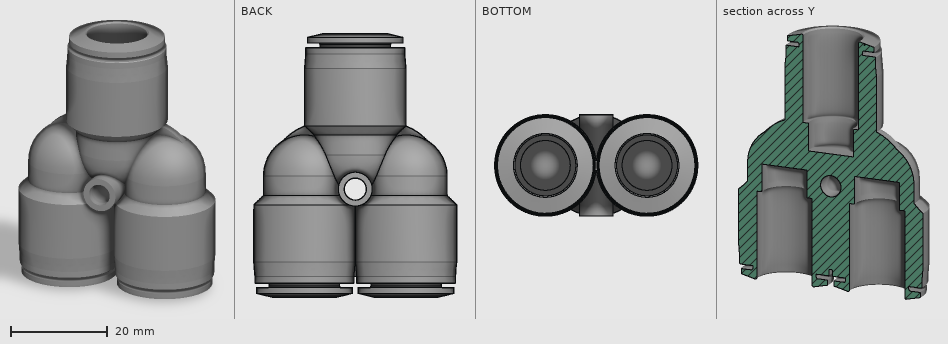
import cadquery as cq
import math

overall_height = 54.5
body_dia = 21.0
leg_pitch = body_dia

release_ring_dia = 19.8
ring_rim_depth = 0.8
ring_back_depth = 2.0
neck_root_dia = 14.9
neck_dia = 14.6
neck_taper_length = 0.3
body_face_dia = 20.5
body_face_depth = 2.85
body_face_chamfer = 0.15
collar_depth = 4.25
body_start_depth = 7.25
body_end_depth = 19.1
shoulder_end_depth = 21.0
dome_dia = 17.0
dome_centre_depth = 25.1

bore_dia = 12.6
bore_mouth_dia = 13.2
bore_depth = body_end_depth
passage_dia = 10.3
passage_depth = dome_centre_depth

eyelet_dia = 7.0
eyelet_hole_dia = 4.5
eyelet_length = body_dia
eyelet_z = 22.35

web_thickness = 2.0
web_reach = 14.9
web_bulge = 0.3

bridge_thickness = web_thickness
bridge_width = 2.0


def socket_body():
    """Solid socket with its mouth at Z = 0 and its dome pointing along +Z."""
    dome_r = dome_dia / 2
    diagonal = dome_r * math.cos(math.radians(45))
    return (
        cq.Workplane("XZ")
        .moveTo(0, 0)
        .lineTo(bore_mouth_dia / 2, 0)
        .lineTo(release_ring_dia / 2, ring_rim_depth)
        .lineTo(release_ring_dia / 2, ring_back_depth)
        .lineTo(neck_root_dia / 2, ring_back_depth)
        .lineTo(neck_dia / 2, ring_back_depth + neck_taper_length)
        .lineTo(neck_dia / 2, body_face_depth)
        .lineTo(body_face_dia / 2 - body_face_chamfer, body_face_depth)
        .lineTo(body_face_dia / 2, body_face_depth + body_face_chamfer)
        .lineTo(body_face_dia / 2, collar_depth)
        .lineTo(body_dia / 2, body_start_depth)
        .lineTo(body_dia / 2, body_end_depth)
        .lineTo(dome_r, shoulder_end_depth)
        .lineTo(dome_r, dome_centre_depth)
        .threePointArc((diagonal, dome_centre_depth + diagonal), (0, dome_centre_depth + dome_r))
        .close()
        .revolve(360, (0, 0, 0), (0, 1, 0))
    )


def socket_bore():
    """Stepped blind bore with a small lead-in, opening at Z = 0."""
    lead_in = (bore_mouth_dia - bore_dia) / 2
    return (
        cq.Workplane("XZ")
        .moveTo(0, 0)
        .lineTo(bore_mouth_dia / 2, 0)
        .lineTo(bore_dia / 2, lead_in)
        .lineTo(bore_dia / 2, bore_depth)
        .lineTo(passage_dia / 2, bore_depth)
        .lineTo(passage_dia / 2, passage_depth)
        .lineTo(0, passage_depth)
        .close()
        .revolve(360, (0, 0, 0), (0, 1, 0))
    )


def in_all_sockets(shape):
    """Copies of a mouth-down shape placed at the upper socket and both legs."""
    upper = shape.rotate((0, 0, 0), (1, 0, 0), 180).translate((0, 0, overall_height))
    legs = [shape.translate((side * leg_pitch / 2, 0, 0)) for side in (-1, 1)]
    return [upper] + legs


def eyelet_cylinder(diameter):
    """Cylinder along Y, centred on the eyelet axis."""
    return (
        cq.Workplane("XZ")
        .center(0, eyelet_z)
        .circle(diameter / 2)
        .extrude(eyelet_length / 2, both=True)
    )


def web():
    """Plate in the XZ plane with crowned edges joining the upper body to both leg domes."""
    dome_r = dome_dia / 2
    offset = web_reach - leg_pitch / 2
    foot_z = dome_centre_depth + math.sqrt(dome_r ** 2 - offset ** 2)
    edge_x = body_dia / 2
    edge_z = overall_height - body_end_depth

    run = web_reach - edge_x
    drop = edge_z - foot_z
    chord = math.hypot(run, drop)
    crown_x = (edge_x + web_reach) / 2 + web_bulge * drop / chord
    crown_z = (edge_z + foot_z) / 2 + web_bulge * run / chord

    return (
        cq.Workplane("XZ")
        .moveTo(-edge_x, edge_z)
        .lineTo(edge_x, edge_z)
        .threePointArc((crown_x, crown_z), (web_reach, foot_z))
        .lineTo(leg_pitch / 2, dome_centre_depth)
        .lineTo(-leg_pitch / 2, dome_centre_depth)
        .lineTo(-web_reach, foot_z)
        .threePointArc((-crown_x, crown_z), (-edge_x, edge_z))
        .close()
        .extrude(web_thickness / 2, both=True)
    )


def leg_bridge():
    """Plate between the legs, from their collars up to the eyelet."""
    return (
        cq.Workplane("XY")
        .workplane(offset=collar_depth)
        .rect(bridge_width, bridge_thickness)
        .extrude(eyelet_z - collar_depth)
    )


result = eyelet_cylinder(eyelet_dia).union(web()).union(leg_bridge())
for body in in_all_sockets(socket_body()):
    result = result.union(body)
for bore in in_all_sockets(socket_bore()):
    result = result.cut(bore)
result = result.cut(eyelet_cylinder(eyelet_hole_dia))
result = result.solids()